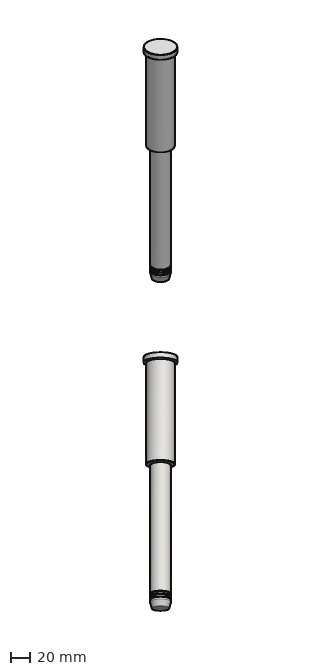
import cadquery as cq
import math

head_diameter = 35.0
head_height = 6.0
body_diameter = 30.0
body_length = 110.0
shaft_diameter = 22.0
shaft_length = 155.0

relief_width = 1.0

head_chamfer = 0.5
body_chamfer = 0.5
tip_radius = 0.5

tip_length = 7.0
tip_angle = 15.0

groove_count = 3
groove_width = 1.0
groove_pitch = 3.0
groove_land = 2.0

body_bottom = -body_length
shaft_bottom = body_bottom - shaft_length
tip_top = shaft_bottom + tip_length
tip_reduction = tip_length * math.tan(math.radians(tip_angle))


def cylinder(diameter, bottom, height):
    """Solid cylinder on the Z axis, rising from the given bottom height."""
    return cq.Workplane("XY").workplane(offset=bottom).circle(diameter / 2).extrude(height)


def ring_groove(diameter, bottom, width):
    """Torus that cuts a half-round groove into a cylinder of the given diameter."""
    profile = cq.Workplane("XZ").center(diameter / 2, bottom + width / 2).circle(width / 2)
    return profile.revolve(360, (-diameter / 2, 0, 0), (-diameter / 2, 1, 0))


def make_head():
    head = cylinder(head_diameter, 0, head_height)
    return head.faces(">Z").edges().chamfer(head_chamfer)


def make_body():
    body = cylinder(body_diameter, body_bottom, body_length)
    body = body.faces("<Z").edges().chamfer(body_chamfer)
    return body.cut(ring_groove(body_diameter, -relief_width, relief_width))


def make_shaft():
    shaft = cylinder(shaft_diameter, shaft_bottom, shaft_length)
    shaft = shaft.faces("<Z").edges().chamfer(tip_length, tip_reduction)
    shaft = shaft.faces("<Z").edges().fillet(tip_radius)
    relief_bottom = body_bottom - relief_width
    shaft = shaft.cut(ring_groove(shaft_diameter, relief_bottom, relief_width))
    for index in range(groove_count):
        groove_bottom = tip_top + groove_land + index * groove_pitch
        shaft = shaft.cut(ring_groove(shaft_diameter, groove_bottom, groove_width))
    return shaft


result = make_head().union(make_body()).union(make_shaft())